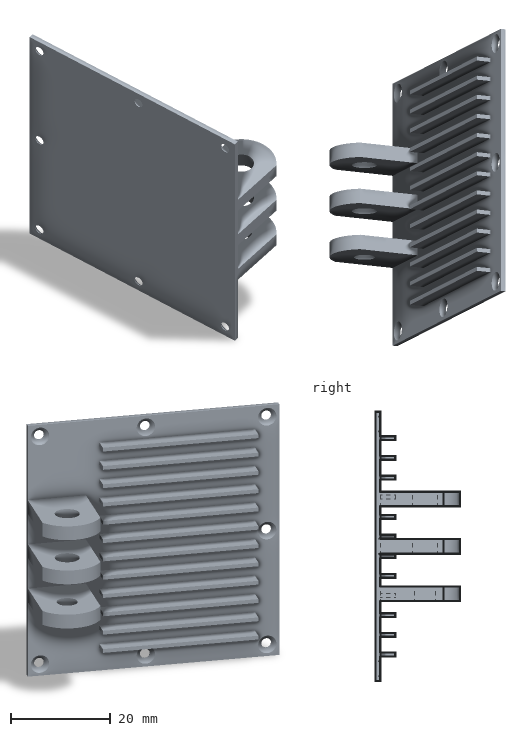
import cadquery as cq
import math

plate_width = 51.8
plate_height = 54.0
plate_thickness = 1.0
mid_height = plate_height / 2

mount_hole_diameter = 2.0
mount_hole_inset = 2.5
countersink_diameter = 3.8
countersink_angle = 90
middle_column_x = 27.5

fin_count = 12
fin_left = 5.0
fin_length = 32.0
fin_depth = 2.95
fin_thickness = 0.8
fin_pitch = 3.95

total_depth = 17.0
lug_count = 3
lug_width = 11.95
lug_thickness = 2.95
lug_pitch = 9.5
lug_radius = 7.0
clearance_diameter = 5.0
tapped_diameter = 4.2
lug_left = plate_width - lug_width
pin_x = plate_width - lug_width / 2
pin_y = total_depth - lug_radius
lug_shoulder_y = pin_y + math.sqrt(lug_radius**2 - (lug_width / 2) ** 2)


def centred_levels(count, pitch):
    """Z levels of evenly spaced features, centred on the plate, lowest first."""
    return [mid_height + (i - (count - 1) / 2) * pitch for i in range(count)]


def make_plate():
    left = mount_hole_inset
    right = plate_width - mount_hole_inset
    low = mount_hole_inset
    high = plate_height - mount_hole_inset
    hole_places = [(x, z) for x in (left, middle_column_x, right) for z in (low, high)]
    hole_places.append((left, mid_height))

    plate = cq.Workplane("XY").box(plate_width, plate_thickness, plate_height, centered=False)
    back = plate.faces(">Y").workplane(origin=(0, plate_thickness, 0))
    return back.pushPoints([(-x, z) for x, z in hole_places]).cskHole(
        mount_hole_diameter, countersink_diameter, countersink_angle
    )


def make_fin(level):
    return (
        cq.Workplane("XY")
        .box(fin_length, plate_thickness + fin_depth, fin_thickness, centered=(False, False, True))
        .translate((fin_left, 0, level))
    )


def make_lug(level, hole_diameter):
    blank = (
        cq.Workplane("XY", origin=(0, 0, level - lug_thickness / 2))
        .moveTo(lug_left, 0)
        .lineTo(plate_width, 0)
        .lineTo(plate_width, lug_shoulder_y)
        .threePointArc((pin_x, total_depth), (lug_left, lug_shoulder_y))
        .close()
        .extrude(lug_thickness)
    )
    return blank.faces(">Z").workplane(origin=(pin_x, pin_y, 0)).hole(hole_diameter)


result = make_plate()

for fin_level in centred_levels(fin_count, fin_pitch):
    result = result.union(make_fin(fin_level))

lug_levels = centred_levels(lug_count, lug_pitch)
result = result.union(make_lug(lug_levels[0], tapped_diameter))
for lug_level in lug_levels[1:]:
    result = result.union(make_lug(lug_level, clearance_diameter))